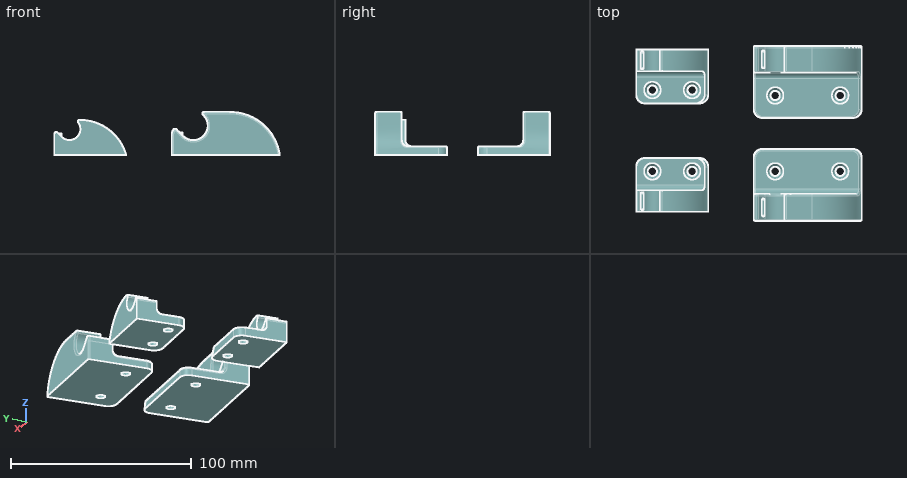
import cadquery as cq
import math

BASE_THICKNESS = 5.0
ROOT_FILLET = 3.0
CORNER_RADIUS = 5.0
LIP_RADIUS = 1.0
RIDGE_RADIUS = 1.0
RIDGE_LENGTH = 10.0
RIDGE_SETBACK = 1.4
SCREW_DIAMETER = 5.0
COUNTERSINK_DIAMETER = 9.2
COUNTERSINK_ANGLE = 90.0
SIN_45 = math.sqrt(0.5)

LARGE_LENGTH = 60.0
LARGE_WIDTH = 40.0
LARGE_HEIGHT = 24.0
LARGE_WALL = 15.0
LARGE_CRADLE_RADIUS = 8.0
LARGE_CRADLE_X = 12.0
LARGE_CRADLE_Z = 16.35
LARGE_NOSE_X = 1.9
LARGE_NOSE_RADIUS = 1.0
LARGE_BROW_RADIUS = 5.0
LARGE_ARC_START = 32.3
LARGE_HOLE_INSET = 12.0
LARGE_HOLE_Y = 27.5
LARGE_EDGE_RADIUS = 1.0

SMALL_LENGTH = 40.0
SMALL_WIDTH = 30.0
SMALL_HEIGHT = 19.6
SMALL_WALL = 12.0
SMALL_CRADLE_RADIUS = 6.0
SMALL_CRADLE_X = 8.5
SMALL_CRADLE_Z = 14.4
SMALL_NOSE_X = 1.2
SMALL_NOSE_RADIUS = 0.9
SMALL_BROW_RADIUS = 1.5
SMALL_HOLE_INSET = 9.0
SMALL_HOLE_Y = 22.5

SET_WIDTH = 97.0
LARGE_X = 65.0
LOWER_SMALL_Y = 5.0
UPPER_SMALL_Y = SET_WIDTH - 2.0


def polar(center, radius, degrees):
    """Point on a circle in the XZ plane."""
    angle = math.radians(degrees)
    return (center[0] + radius * math.cos(angle), center[1] + radius * math.sin(angle))


def wall_profile(length, height, cradle, cradle_radius, nose_x, nose_radius, brow_radius, arc_start=None):
    """Side outline in XZ: front face, brow, nose, ramp, cradle, lip, top and curved back.

    Without arc_start the curved back begins right at the lip.
    """
    lip_z = height - LIP_RADIUS
    lip_distance = cradle_radius + LIP_RADIUS
    lip_angle = math.degrees(math.asin((lip_z - cradle[1]) / lip_distance))
    lip = polar(cradle, lip_distance, lip_angle)

    ramp_end = polar(cradle, cradle_radius, 225)

    nose = (nose_x, sum(ramp_end) - nose_x - nose_radius / SIN_45)

    brow_angle = 180 - math.degrees(math.acos((brow_radius - nose_x) / (brow_radius - nose_radius)))
    brow_z = nose[1] - (brow_radius - nose_radius) * math.sin(math.radians(brow_angle))
    brow = (brow_radius, brow_z)

    if arc_start is None:
        arc_start = lip[0]
    run = length - arc_start
    back_radius = (run**2 + height**2) / (2 * height)
    back = (arc_start, height - back_radius)
    floor_angle = math.degrees(math.atan2(-back[1], run))

    outline = (
        cq.Workplane("XZ")
        .lineTo(length, 0)
        .threePointArc(polar(back, back_radius, (floor_angle + 90) / 2), (arc_start, height))
    )
    if arc_start > lip[0]:
        outline = outline.lineTo(lip[0], height)
    return (
        outline
        .threePointArc(polar(lip, LIP_RADIUS, 180), polar(lip, LIP_RADIUS, 180 + lip_angle))
        .threePointArc(polar(cradle, cradle_radius, -45), ramp_end)
        .lineTo(*polar(nose, nose_radius, 45))
        .threePointArc(polar(nose, nose_radius, 90), polar(nose, nose_radius, brow_angle))
        .threePointArc(polar(brow, brow_radius, (brow_angle + 180) / 2), polar(brow, brow_radius, 180))
        .close()
    )


def bracket(outline, length, width, height, wall):
    """Wall with the given outline, standing along the -Y edge of a base plate."""
    space_above_base = (
        cq.Workplane("XY", origin=(0, wall, BASE_THICKNESS))
        .box(length, width - wall, height, centered=False)
    )
    body = outline.extrude(-width).cut(space_above_base)
    body = body.faces(">Y").edges("not |X").fillet(CORNER_RADIUS)
    root_edge = cq.selectors.NearestToPointSelector((length / 2, wall, BASE_THICKNESS))
    return body.edges(root_edge).fillet(ROOT_FILLET)


def round_side_edges(body, length, width, radius):
    """Round the outer side outline and the tangent edge loop round the base and wall."""
    outer_front_edge = cq.selectors.NearestToPointSelector((0, 0, BASE_THICKNESS))
    base_edge = cq.selectors.NearestToPointSelector((length / 2, width, BASE_THICKNESS))
    return body.edges(outer_front_edge).fillet(radius).edges(base_edge).fillet(radius)


def add_snap_ridge(body, cradle, cradle_radius, wall):
    """Round-ended ridge half sunk in the ramp, centred across the wall."""
    ramp_end = polar(cradle, cradle_radius, 225)
    axis_x, axis_z = polar(ramp_end, RIDGE_SETBACK, 135)
    half_straight = RIDGE_LENGTH / 2 - RIDGE_RADIUS
    middle = wall / 2
    ridge = (
        cq.Workplane("XZ", origin=(axis_x, middle - half_straight, axis_z))
        .circle(RIDGE_RADIUS)
        .extrude(-2 * half_straight)
    )
    for end_y in (middle - half_straight, middle + half_straight):
        ridge = ridge.union(cq.Workplane("XY", origin=(axis_x, end_y, axis_z)).sphere(RIDGE_RADIUS))
    return body.union(ridge)


def drill_screw_holes(body, length, inset, hole_y):
    """Two countersunk holes through the base plate."""
    return (
        body.copyWorkplane(cq.Workplane("XY", origin=(0, 0, BASE_THICKNESS)))
        .pushPoints([(inset, hole_y), (length - inset, hole_y)])
        .cskHole(SCREW_DIAMETER, COUNTERSINK_DIAMETER, COUNTERSINK_ANGLE, depth=BASE_THICKNESS)
    )


def large_clip():
    cradle = (LARGE_CRADLE_X, LARGE_CRADLE_Z)
    outline = wall_profile(
        LARGE_LENGTH, LARGE_HEIGHT, cradle, LARGE_CRADLE_RADIUS,
        LARGE_NOSE_X, LARGE_NOSE_RADIUS, LARGE_BROW_RADIUS, LARGE_ARC_START,
    )
    body = bracket(outline, LARGE_LENGTH, LARGE_WIDTH, LARGE_HEIGHT, LARGE_WALL)
    body = round_side_edges(body, LARGE_LENGTH, LARGE_WIDTH, LARGE_EDGE_RADIUS)
    body = add_snap_ridge(body, cradle, LARGE_CRADLE_RADIUS, LARGE_WALL)
    return drill_screw_holes(body, LARGE_LENGTH, LARGE_HOLE_INSET, LARGE_HOLE_Y)


def small_clip():
    cradle = (SMALL_CRADLE_X, SMALL_CRADLE_Z)
    outline = wall_profile(
        SMALL_LENGTH, SMALL_HEIGHT, cradle, SMALL_CRADLE_RADIUS,
        SMALL_NOSE_X, SMALL_NOSE_RADIUS, SMALL_BROW_RADIUS,
    )
    body = bracket(outline, SMALL_LENGTH, SMALL_WIDTH, SMALL_HEIGHT, SMALL_WALL)
    body = add_snap_ridge(body, cradle, SMALL_CRADLE_RADIUS, SMALL_WALL)
    return drill_screw_holes(body, SMALL_LENGTH, SMALL_HOLE_INSET, SMALL_HOLE_Y)


def opposite_hand(body):
    """Mirror image with the wall on the +Y side."""
    return body.mirror("XZ")


large = large_clip()
small = small_clip()
lower_large = large.translate((LARGE_X, 0, 0))
upper_large = opposite_hand(large).translate((LARGE_X, SET_WIDTH, 0))
lower_small = small.translate((0, LOWER_SMALL_Y, 0))
upper_small = opposite_hand(small).translate((0, UPPER_SMALL_Y, 0))

result = cq.Compound.makeCompound(
    [lower_large.val(), upper_large.val(), lower_small.val(), upper_small.val()]
)